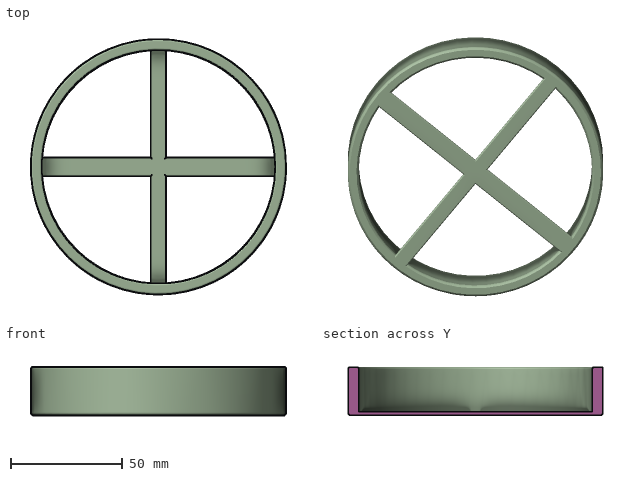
import cadquery as cq

outer_diameter = 115.0
inner_diameter = 105.0
ring_height = 22.0
ring_edge_radius = 1.0
ring_bottom_chamfer = 1.0

x_spoke_width = 8.5
y_spoke_width = 7.0
spoke_thickness = 2.0
spoke_edge_radius = 0.7
spoke_bottom_chamfer = 0.5
spoke_length = (outer_diameter + inner_diameter) / 2

height_tolerance = 0.001


def edges_at_height(height):
    """Selector for the edges lying at one height."""
    return cq.selectors.BoxSelector(
        (-outer_diameter, -outer_diameter, height - height_tolerance),
        (outer_diameter, outer_diameter, height + height_tolerance),
    )


def finish_edges(body, edge_kind, chamfer, radius):
    """Chamfer the bottom edges of one kind, blend the chamfers into the sides and round the top edges."""
    body = body.faces("<Z").edges(edge_kind).chamfer(chamfer)
    body = body.edges(edge_kind).edges(edges_at_height(chamfer)).fillet(radius)
    return body.faces(">Z").edges(edge_kind).fillet(radius)


def make_ring():
    """Ring with its inner and outer edges finished."""
    ring = cq.Workplane("XY").circle(outer_diameter / 2).circle(inner_diameter / 2).extrude(ring_height)
    return finish_edges(ring, "%CIRCLE", ring_bottom_chamfer, ring_edge_radius)


def make_spoke(size_x, size_y, long_edges):
    """Flat bar with its long edges finished; the ends are left plain inside the ring wall."""
    spoke = cq.Workplane("XY").box(size_x, size_y, spoke_thickness, centered=(True, True, False))
    return finish_edges(spoke, long_edges, spoke_bottom_chamfer, spoke_edge_radius)


x_spoke = make_spoke(spoke_length, x_spoke_width, "|X")
y_spoke = make_spoke(y_spoke_width, spoke_length, "|Y")
result = make_ring().union(x_spoke).union(y_spoke)